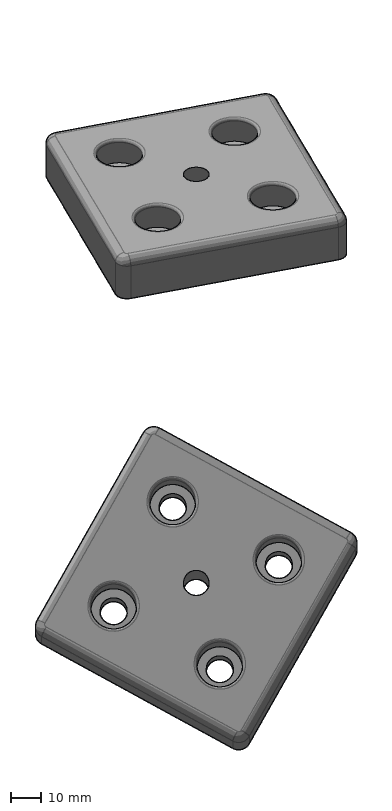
import cadquery as cq
import math

side = 80.0
height = 16.0
corner_radius = 4.0
top_edge_radius = 3.0

center_hole_diameter = 8.4
screw_hole_diameter = 9.0
counterbore_diameter = 15.0
counterbore_depth = 9.0
mouth_radius = 1.0
screw_spacing = side / 2


def make_plate():
    """Square plate standing on Z = 0, with rounded corners and a rounded top edge."""
    plate = cq.Workplane("XY").rect(side, side).extrude(height)
    plate = plate.edges("|Z").fillet(corner_radius)
    return plate.faces(">Z").edges().fillet(top_edge_radius)


def make_screw_hole_cutter():
    """Stepped hole on the Z axis, its mouth rounded over into the top face."""
    screw_hole_radius = screw_hole_diameter / 2
    counterbore_radius = counterbore_diameter / 2
    counterbore_floor = height - counterbore_depth

    arc_inset = mouth_radius * (1 - math.sqrt(0.5))
    arc_middle = (counterbore_radius + arc_inset, height - arc_inset)

    profile = (
        cq.Workplane("XZ")
        .lineTo(screw_hole_radius, 0)
        .lineTo(screw_hole_radius, counterbore_floor)
        .lineTo(counterbore_radius, counterbore_floor)
        .lineTo(counterbore_radius, height - mouth_radius)
        .threePointArc(arc_middle, (counterbore_radius + mouth_radius, height))
        .lineTo(0, height)
        .close()
    )
    return profile.revolve(360, (0, 0), (0, 1))


def make_center_hole_cutter():
    """Plain through hole on the Z axis."""
    return cq.Workplane("XY").circle(center_hole_diameter / 2).extrude(height)


result = make_plate().cut(make_center_hole_cutter())

screw_hole_cutter = make_screw_hole_cutter()
for x in (-screw_spacing / 2, screw_spacing / 2):
    for y in (-screw_spacing / 2, screw_spacing / 2):
        result = result.cut(screw_hole_cutter.translate((x, y, 0)))